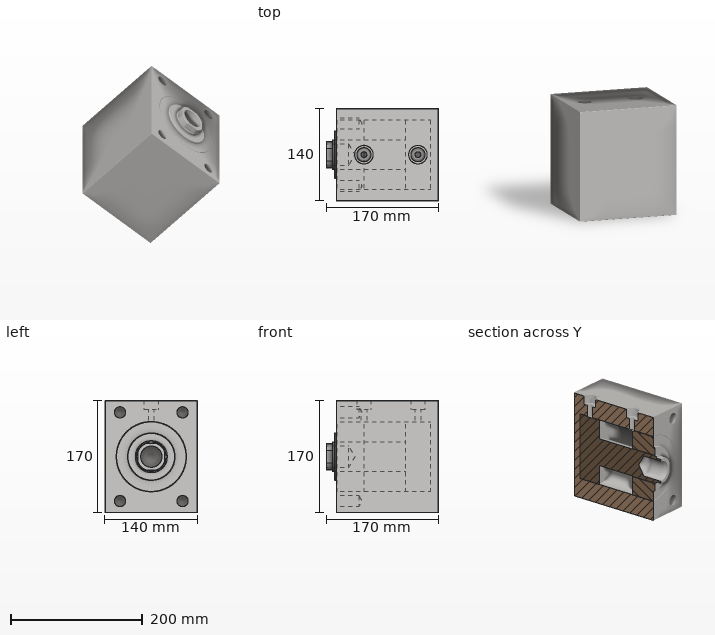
import cadquery as cq
import math

total_length = 170.0
block_width = 140.0
block_height = 170.0
block_front = -69.7
rod_tip = -85.0
block_rear = rod_tip + total_length
block_edge_chamfer = 0.3

bore_radius = 52.7
bore_mouth_chamfer = 0.7
bore_end = 73.1
mount_hole_diameter = 17.0
mount_hole_depth = 34.0
mount_spacing_y = 94.9
mount_spacing_z = 134.6
drill_point_angle = 118.0

front_port_x = -27.9
rear_port_x = 54.0
spotface_diameter = 28.0
spotface_depth = 0.25
port_diameter = 21.5
port_depth = 13.6
passage_diameter = 8.8

gland_end = front_port_x
collar_radius = 36.0
collar_front = block_front - 3.0
collar_chamfer_length = 1.0
collar_chamfer_depth = 0.7
wiper_recess_radius = 24.3
wiper_recess_depth = 0.2

rod_radius = 22.5
rod_shoulder = rod_tip + 9.2
shoulder_chamfer = 0.3
neck_radius = 22.0
across_flats = 39.8
tip_chamfer = 0.3
tip_hole_diameter = 32.3
tip_hole_depth = 34.0
piston_front = 2 * rear_port_x - bore_end


def revolve_about_x(profile):
    """Revolve a profile of (x, radius) points about the rod axis."""
    return cq.Workplane("XY").polyline(profile).close().revolve(360, (0, 0, 0), (1, 0, 0))


def drilled_hole(x, y, z, diameter, depth):
    """Blind hole going in the +X direction, with full-diameter depth and a conical drill point."""
    radius = diameter / 2
    point_length = radius / math.tan(math.radians(drill_point_angle / 2))
    profile = [(0, 0), (0, radius), (depth, radius), (depth + point_length, 0)]
    return revolve_about_x(profile).translate((x, y, z))


def vertical_cylinder(x, diameter, bottom, top):
    """Cylinder parallel to Z, centred over the rod axis."""
    return cq.Workplane("XY", origin=(x, 0, bottom)).circle(diameter / 2).extrude(top - bottom)


def port_cutter(x):
    """Shallow spotface, port bore and narrow passage down to the cylinder bore."""
    top = block_height / 2
    spotface = vertical_cylinder(x, spotface_diameter, top - spotface_depth, top)
    port = vertical_cylinder(x, port_diameter, top - port_depth, top)
    passage = vertical_cylinder(x, passage_diameter, 0, top)
    return spotface.union(port).union(passage)


def make_block():
    length = block_rear - block_front
    block = cq.Workplane("XY").box(length, block_width, block_height)
    block = block.translate((block_front + length / 2, 0, 0))
    block = block.edges("|X").chamfer(block_edge_chamfer)

    bore = revolve_about_x([
        (block_front, 0),
        (block_front, bore_radius + bore_mouth_chamfer),
        (block_front + bore_mouth_chamfer, bore_radius),
        (bore_end, bore_radius),
        (bore_end, 0),
    ])
    block = block.cut(bore)

    for y in (-mount_spacing_y / 2, mount_spacing_y / 2):
        for z in (-mount_spacing_z / 2, mount_spacing_z / 2):
            block = block.cut(drilled_hole(block_front, y, z, mount_hole_diameter, mount_hole_depth))

    for x in (front_port_x, rear_port_x):
        block = block.cut(port_cutter(x))
    return block


def make_gland():
    recess_floor = collar_front + wiper_recess_depth
    return revolve_about_x([
        (recess_floor, rod_radius),
        (recess_floor, wiper_recess_radius),
        (collar_front, wiper_recess_radius),
        (collar_front, collar_radius - collar_chamfer_depth),
        (collar_front + collar_chamfer_length, collar_radius),
        (block_front, collar_radius),
        (block_front, bore_radius),
        (gland_end, bore_radius),
        (gland_end, rod_radius),
    ])


def make_piston_rod():
    rod = revolve_about_x([
        (rod_tip, 0),
        (rod_tip, neck_radius - tip_chamfer),
        (rod_tip + tip_chamfer, neck_radius),
        (rod_shoulder, neck_radius),
        (rod_shoulder, rod_radius - shoulder_chamfer),
        (rod_shoulder + shoulder_chamfer, rod_radius),
        (piston_front, rod_radius),
        (piston_front, bore_radius),
        (bore_end, bore_radius),
        (bore_end, 0),
    ])
    neck_length = rod_shoulder - rod_tip
    neck_stock = cq.Workplane("YZ", origin=(rod_tip, 0, 0)).circle(rod_radius).extrude(neck_length)
    flats = cq.Workplane("YZ", origin=(rod_tip, 0, 0)).rect(across_flats, across_flats).extrude(neck_length)
    rod = rod.cut(neck_stock.cut(flats))
    return rod.cut(drilled_hole(rod_tip, 0, 0, tip_hole_diameter, tip_hole_depth))


block = make_block()
gland = make_gland()
piston_rod = make_piston_rod()

result = cq.Compound.makeCompound([block.val(), gland.val(), piston_rod.val()])